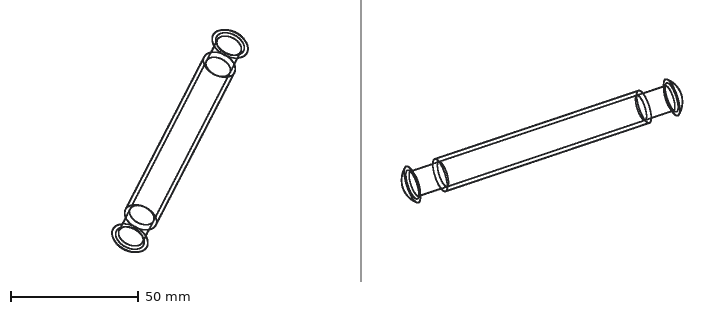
import cadquery as cq
import math

pin_length = 120.13
head_diameter = 15.16
head_height = 3.75
shank_diameter = 10.32
neck_diameter = 12.0
neck_length = 1.0
sleeve_diameter = 13.49
sleeve_length = 88.6
countersink_depth = 1.3

head_radius = head_diameter / 2
shank_radius = shank_diameter / 2
neck_radius = neck_diameter / 2
sleeve_radius = sleeve_diameter / 2
dome_radius = (head_radius**2 + head_height**2) / (2 * head_height)

tip_y = pin_length / 2
head_base_y = tip_y - head_height
neck_start_y = head_base_y - neck_length
sleeve_end_y = sleeve_length / 2
countersink_floor_y = sleeve_end_y - countersink_depth

dome_half_angle = math.asin(head_radius / dome_radius) / 2
dome_mid_x = dome_radius * math.sin(dome_half_angle)
dome_mid_y = tip_y - dome_radius * (1 - math.cos(dome_half_angle))


def revolve_about_y(profile):
    return profile.close().revolve(360, (0, 0, 0), (0, 1, 0))


def make_pin():
    """Round shank with a flat-backed domed head and a conical neck at each end."""
    profile = (
        cq.Workplane("XY")
        .moveTo(0, -tip_y)
        .threePointArc((dome_mid_x, -dome_mid_y), (head_radius, -head_base_y))
        .lineTo(neck_radius, -head_base_y)
        .lineTo(shank_radius, -neck_start_y)
        .lineTo(shank_radius, neck_start_y)
        .lineTo(neck_radius, head_base_y)
        .lineTo(head_radius, head_base_y)
        .threePointArc((dome_mid_x, dome_mid_y), (0, tip_y))
    )
    return revolve_about_y(profile)


def make_sleeve():
    """Tube fitting the shank, its bore countersunk out to a sharp rim at both ends."""
    profile = (
        cq.Workplane("XY")
        .moveTo(shank_radius, -countersink_floor_y)
        .lineTo(sleeve_radius, -sleeve_end_y)
        .lineTo(sleeve_radius, sleeve_end_y)
        .lineTo(shank_radius, countersink_floor_y)
    )
    return revolve_about_y(profile)


pin = make_pin()
sleeve = make_sleeve()

result = cq.Compound.makeCompound([pin.val(), sleeve.val()])